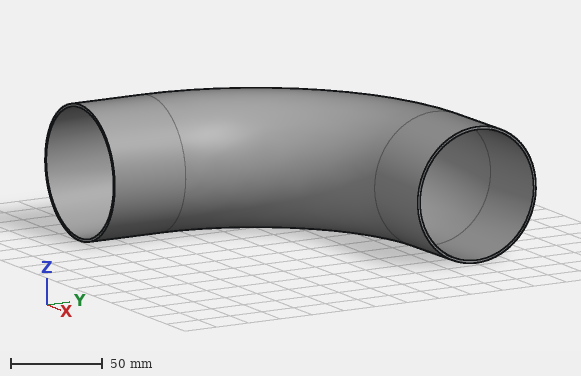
import cadquery as cq
import math

overall_length = 198.3
outer_diameter = 76.2
inner_diameter = 73.0
bend_angle = 88.0
tangent_length = 44.5

outer_radius = outer_diameter / 2
bend_sin = math.sin(math.radians(bend_angle))
bend_cos = math.cos(math.radians(bend_angle))
straight_extent = tangent_length * (1 + bend_cos)
rim_extent = outer_radius * bend_sin
bend_radius = (overall_length - straight_extent - rim_extent) / bend_sin

bend_start = (0, tangent_length, 0)
outlet_direction = (bend_sin, bend_cos, 0)
bend_end = (
    bend_radius * (1 - bend_cos),
    tangent_length + bend_radius * bend_sin,
    0,
)


def pipe_section(origin, direction):
    """Ring-shaped pipe section on a plane facing the given direction."""
    plane = cq.Plane(origin=origin, xDir=(0, 0, 1), normal=direction)
    return cq.Workplane(plane).circle(outer_radius).circle(inner_diameter / 2)


def straight_pipe(origin, direction):
    return pipe_section(origin, direction).extrude(tangent_length)


def bend():
    section = pipe_section(bend_start, (0, 1, 0))
    return section.revolve(bend_angle, (0, bend_radius, 0), (-1, bend_radius, 0))


inlet = straight_pipe((0, 0, 0), (0, 1, 0))
outlet = straight_pipe(bend_end, outlet_direction)

result = inlet.union(bend()).union(outlet)